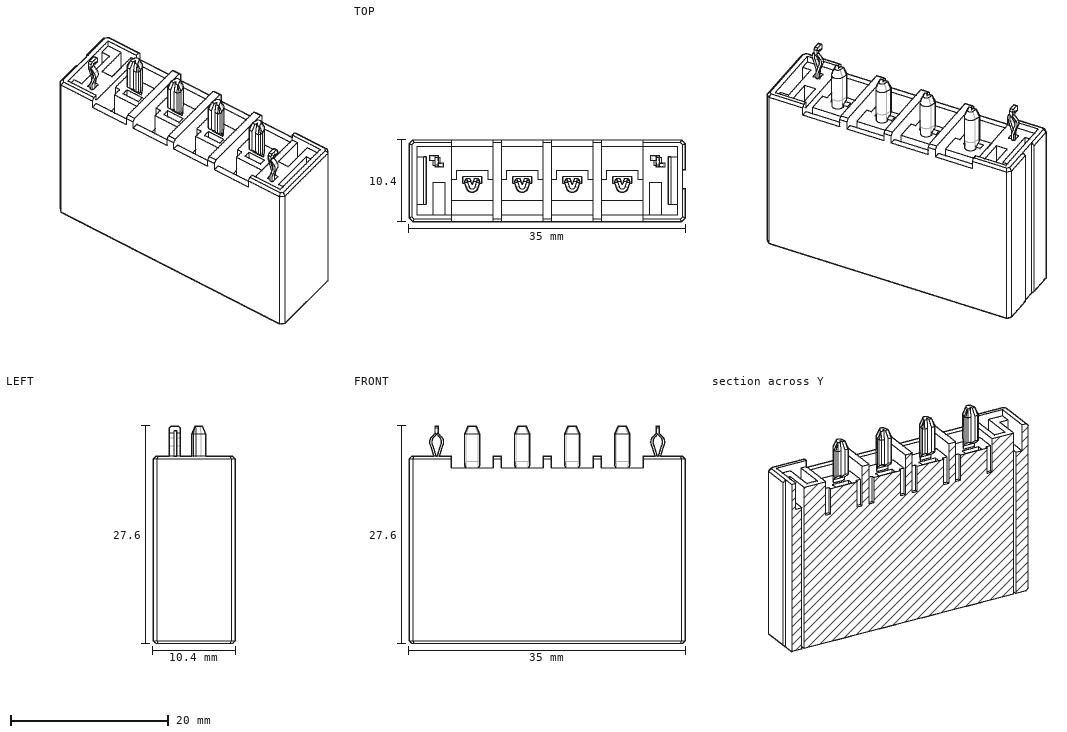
import cadquery as cq
import math

length = 35.05
width = 10.4
body_height = 23.75
overall_height = 27.6
end_wall = 0.98
side_wall = 0.85
rim_chamfer = 0.35
corner_chamfer = 0.5

bay_count = 4
bay_pitch = 6.35
rib_thickness = 1.05
bay_length = bay_pitch - rib_thickness
bay_depth = 5.6
notch_depth = 1.47
bays_half_length = bay_count * bay_pitch / 2 - rib_thickness / 2
bay_centres = [(i - (bay_count - 1) / 2) * bay_pitch for i in range(bay_count)]
inner_half_width = width / 2 - side_wall

block_drop = 2.05
block_front = -2.52
block_back = 0.18
block_neck_length = 3.95
block_neck_back = 1.33
block_top = body_height - block_drop
hole_length = 2.4
hole_front = -0.3
hole_back = 0.53

end_floor_drop = 0.88
end_floor = body_height - end_floor_drop
inner_half_length = length / 2 - end_wall
slot_inner = 15.35
slot_ledge = 15.65
slot_front = -2.98
slot_back = 3.05
slot_depth = 2.8
recess_inner = 12.97
recess_outer = 14.5
recess_back = -0.2
recess_depth = 2.8

groove_front = -0.98
groove_back = 1.4

pin_shoulder_x = 0.98
pin_shoulder_y = -0.2
pin_arc_x = 0.77
pin_arc_y = -0.88
pin_front = -1.47
pin_back = 0.3
pin_back_x = 0.7
pin_bevel_x = 0.9
pin_bevel_y = 0.1
pin_tip_height = 1.0
pin_shank_height = 3.5
pin_tip_inset = 0.42
pin_foot_inset = 0.07
pin_foot_back = -0.65
pin_foot_slope_height = 0.88
pin_embed = 0.53
pin_groove_half = 0.28
pin_groove_root = -0.5

clip_x = 14.02
clip_front = 1.75
clip_front_leg_back = 2.25
clip_back_leg_front = 2.55
clip_back = 3.2
clip_stem = 0.42
clip_leg_width = 0.3
clip_bridge_height = 0.6
clip_corner = 0.25
clip_embed = 1.05
bow_offset = 0.75
bow_arc_offset = 0.6
bow_start = body_height + 2.95
bow_arc_top = body_height + 2.3
bow_peak = body_height + 1.75
bow_arc_bottom = body_height + 1.25
foot_offset = 0.2
opening_half = 0.45
opening_front = 1.95
opening_back = 2.98
opening_depth = 1.05


def block_between(x0, x1, y0, y1, z0, z1):
    """Axis-aligned box given by its limits."""
    return cq.Workplane("XY").box(x1 - x0, y1 - y0, z1 - z0, centered=False).translate((x0, y0, z0))


def housing():
    """Chamfered outer block with the keying groove."""
    body = cq.Workplane("XY").box(length, width, body_height, centered=(True, True, False))
    body = body.edges("|Z").chamfer(corner_chamfer)
    body = body.faces("<Z or >Z").edges().chamfer(rim_chamfer)
    groove = block_between(
        length / 2 - rim_chamfer, length / 2, groove_front, groove_back, 0, body_height
    )
    return body.cut(groove)


def bay_cavity(x):
    """Notch across both side walls plus a pocket around the terminal block."""
    x0 = x - bay_length / 2
    x1 = x + bay_length / 2
    notch = block_between(x0, x1, -width / 2, width / 2, body_height - notch_depth, body_height)
    floor = body_height - bay_depth
    pocket = block_between(x0, x1, -inner_half_width, inner_half_width, floor, body_height)
    terminal = block_between(x0, x1, block_front, block_back, floor, block_top)
    neck_half = block_neck_length / 2
    neck = block_between(x - neck_half, x + neck_half, block_back, block_neck_back, floor, block_top)
    hole_half = hole_length / 2
    hole = block_between(x - hole_half, x + hole_half, hole_front, hole_back, 0, block_top)
    return notch.union(pocket.cut(terminal).cut(neck)).union(hole)


def end_cavity():
    """Compartment at the +X end with its stepped slot and its front recess."""
    space = block_between(
        bays_half_length, inner_half_length, -inner_half_width, inner_half_width, end_floor, body_height
    )
    slot = block_between(
        slot_inner, inner_half_length, slot_front, slot_back, end_floor - slot_depth, end_floor
    )
    slit = block_between(slot_inner, slot_ledge, slot_front, slot_back, 0, end_floor)
    recess = block_between(
        recess_inner, recess_outer, -inner_half_width, recess_back, end_floor - recess_depth, end_floor
    )
    return space.union(slot).union(slit).union(recess)


def pin_section(z):
    """Outer pin outline at height z, rounded towards -Y."""
    return (
        cq.Workplane("XY", origin=(0, 0, z))
        .moveTo(-pin_back_x, pin_back)
        .lineTo(-pin_bevel_x, pin_bevel_y)
        .lineTo(-pin_shoulder_x, pin_shoulder_y)
        .lineTo(-pin_arc_x, pin_arc_y)
        .threePointArc((0, pin_front), (pin_arc_x, pin_arc_y))
        .lineTo(pin_shoulder_x, pin_shoulder_y)
        .lineTo(pin_bevel_x, pin_bevel_y)
        .lineTo(pin_back_x, pin_back)
        .close()
    )


def contact_pin():
    """Pin with a tapered tip, a V groove along its back and a foot cut away at the back."""
    tip_base = overall_height - pin_tip_height
    shank_base = tip_base - pin_shank_height
    foot_base = block_top - pin_embed
    foot_height = shank_base - foot_base
    slope_base = shank_base - pin_foot_slope_height
    tip_taper = math.degrees(math.atan2(pin_tip_inset, pin_tip_height))
    foot_taper = math.degrees(math.atan2(pin_foot_inset, foot_height))
    pin = pin_section(shank_base).extrude(pin_shank_height)
    pin = pin.union(pin_section(tip_base).extrude(pin_tip_height, taper=tip_taper))
    pin = pin.union(pin_section(shank_base).extrude(-foot_height, taper=foot_taper))
    groove = (
        cq.Workplane("XY", origin=(0, 0, foot_base))
        .polyline([(-pin_groove_half, pin_back), (0, pin_groove_root), (pin_groove_half, pin_back)])
        .close()
        .extrude(overall_height - foot_base)
    )
    foot_relief = (
        cq.Workplane("YZ")
        .polyline([
            (pin_back, shank_base),
            (pin_foot_back, slope_base),
            (pin_foot_back, foot_base),
            (pin_back, foot_base),
        ])
        .close()
        .extrude(pin_shoulder_x, both=True)
    )
    return pin.cut(groove).cut(foot_relief)


def clip_leg(side, y0, y1):
    """Bowed leg between y0 and y1; side is -1 or +1 for the direction of the bow."""
    half = clip_leg_width / 2
    foot = end_floor - clip_embed
    outline = (
        cq.Workplane("XZ", origin=(0, y1, 0))
        .moveTo(-half, bow_start)
        .lineTo(side * bow_arc_offset - half, bow_arc_top)
        .threePointArc(
            (side * bow_offset - half, bow_peak), (side * bow_arc_offset - half, bow_arc_bottom)
        )
        .lineTo(side * foot_offset - half, body_height)
        .lineTo(side * foot_offset - half, foot)
        .lineTo(side * foot_offset + half, foot)
        .lineTo(side * foot_offset + half, body_height)
        .lineTo(side * bow_arc_offset + half, bow_arc_bottom)
        .threePointArc(
            (side * bow_offset + half, bow_peak), (side * bow_arc_offset + half, bow_arc_top)
        )
        .lineTo(half, bow_start)
        .close()
    )
    return outline.extrude(y1 - y0)


def retaining_clip():
    """Two legs under a stem, joined by a bridge with chamfered top corners."""
    half = clip_stem / 2
    stem = block_between(-half, half, clip_front, clip_back, bow_start, overall_height)
    stem = stem.edges("|X and >Z").chamfer(clip_corner)
    gap = block_between(
        -half, half, clip_front_leg_back, clip_back_leg_front, bow_start, overall_height - clip_bridge_height
    )
    back_leg = clip_leg(-1, clip_back_leg_front, clip_back)
    front_leg = clip_leg(1, clip_front, clip_front_leg_back)
    return stem.cut(gap).union(back_leg).union(front_leg)


def clip_opening(x):
    """Opening in the end floor around the inner sides of the clip feet."""
    return block_between(
        x - opening_half, x + opening_half, opening_front, opening_back, end_floor - opening_depth, end_floor
    )


part = housing()
for x in bay_centres:
    part = part.cut(bay_cavity(x))
right_end = end_cavity()
part = part.cut(right_end).cut(right_end.mirror("YZ"))
for x in (-clip_x, clip_x):
    part = part.cut(clip_opening(x))
pin = contact_pin()
for x in bay_centres:
    part = part.union(pin.translate((x, 0, 0)))
clip = retaining_clip()
for x in (-clip_x, clip_x):
    part = part.union(clip.translate((x, 0, 0)))
result = part